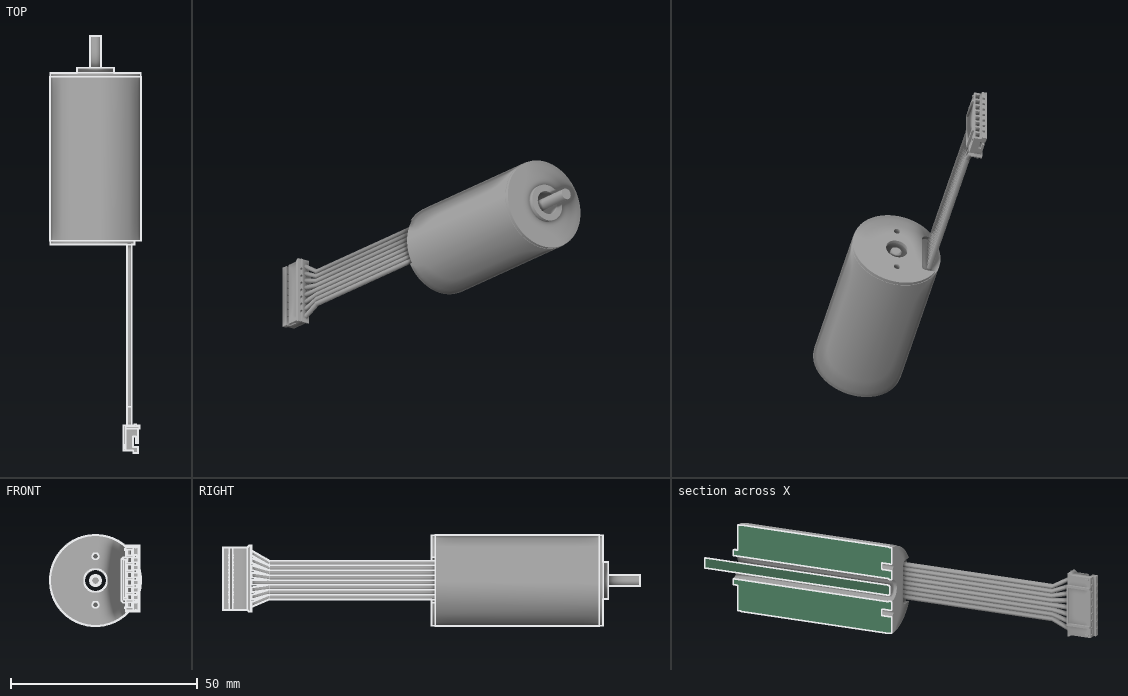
import cadquery as cq


overall_length = 111.77

motor_diameter = 24.5
motor_length = 46.0
end_plate_thickness = 1.0
end_plate_step = 0.1
boss_diameter = 10.0
boss_height = 1.4
bore_diameter = 6.0
can_bore_diameter = 6.4
screw_hole_diameter = 1.7
screw_hole_depth = 3.0
screw_circle_radius = 6.5

notch_start_x = 6.9
notch_height = 12.3
notch_corner_radius = 1.0

shaft_diameter = 3.0
shaft_projection = 9.9
shaft_rear_recess = 0.6
shaft_rear_chamfer = 0.4

wire_count = 8
wire_diameter = 1.35
wire_pitch = 1.3
cable_x = 9.1
cable_z = 0.14
fan_start_y = -89.5

pin_pitch = 2.0
connector_rear_y = -94.4
body_length = 6.8
body_height = 16.8
body_left_x = 8.1
body_right_x = 11.45
flange_height = 17.8
flange_right_x = 11.8
flange_thickness = 0.4
flange_taper_length = 0.6
ridge_width = 0.5
ridge_height = 0.25

rib_left_x = 7.45
rib_thickness = 0.65
rib_spacing = 10.75

bump_spacing = 15.6
bump_size_x = 0.3
bump_size_y = 0.9
bump_size_z = 0.35
bump_offset = 0.6

rail_left_x = 10.1
latch_left_x = 10.8
groove_offset = 3.1
groove_length = 2.7
latch_length = 1.7

cavity_center_x = 9.1
cavity_width = 1.2
cavity_height = 1.4
cavity_depth = 5.0
slot_width = 0.7
slot_left_x = 10.25
slot_right_x = 11.0

motor_radius = motor_diameter / 2
rear_y = -motor_length
notch_floor_y = rear_y + end_plate_thickness

connector_front_y = connector_rear_y - body_length
rail_front_y = shaft_projection - overall_length
groove_rear_y = connector_rear_y - groove_offset
groove_front_y = groove_rear_y - groove_length
latch_front_y = groove_rear_y - latch_length
bump_front_y = connector_front_y + bump_offset
connector_z = cable_z + (pin_pitch - wire_pitch) / 2


def cylinder_y(diameter, y_from, y_to, x=0, z=0):
    """Cylinder parallel to Y between two Y positions."""
    start = cq.Vector(x, y_from, z)
    direction = cq.Vector(0, y_to - y_from, 0)
    return cq.Workplane(cq.Solid.makeCylinder(diameter / 2, abs(y_to - y_from), start, direction))


def box_between(x_from, x_to, y_from, y_to, z_from, z_to):
    """Axis-aligned box between two opposite corners."""
    size = (x_to - x_from, y_to - y_from, z_to - z_from)
    return cq.Workplane().box(*size, centered=False).translate((x_from, y_from, z_from))


def centered_positions(count, pitch, center):
    """Evenly spaced heights about a center, from low to high."""
    return [center + (i - (count - 1) / 2) * pitch for i in range(count)]


def build_motor():
    plate_diameter = motor_diameter - 2 * end_plate_step
    motor = cylinder_y(motor_diameter, notch_floor_y, -end_plate_thickness)
    motor = motor.union(cylinder_y(plate_diameter, rear_y, 0))
    motor = motor.union(cylinder_y(boss_diameter, 0, boss_height))
    motor = motor.cut(cylinder_y(bore_diameter, rear_y, notch_floor_y))
    motor = motor.cut(cylinder_y(can_bore_diameter, notch_floor_y, boss_height))

    for z in (-screw_circle_radius, screw_circle_radius):
        motor = motor.cut(cylinder_y(screw_hole_diameter, rear_y, rear_y + screw_hole_depth, z=z))

    notch = box_between(
        notch_start_x, motor_radius, rear_y, notch_floor_y,
        cable_z - notch_height / 2, cable_z + notch_height / 2,
    )
    notch = notch.edges("|Y and <X").fillet(notch_corner_radius)
    return motor.cut(notch)


def build_shaft():
    shaft = cylinder_y(shaft_diameter, rear_y + shaft_rear_recess, shaft_projection)
    return shaft.faces("<Y").chamfer(shaft_rear_chamfer)


def build_cable():
    """Side-by-side wires, each leading from the ribbon to its own connector pin."""
    ribbon_heights = centered_positions(wire_count, wire_pitch, cable_z)
    pin_heights = centered_positions(wire_count, pin_pitch, connector_z)
    ribbon = cq.Workplane()
    fan = cq.Workplane()
    for ribbon_z, pin_z in zip(ribbon_heights, pin_heights):
        ribbon = ribbon.union(cylinder_y(wire_diameter, fan_start_y, notch_floor_y, cable_x, ribbon_z))
        fan_wire = (
            cq.Workplane("XZ", origin=(cable_x, fan_start_y, ribbon_z))
            .circle(wire_diameter / 2)
            .workplane(offset=fan_start_y - connector_rear_y)
            .center(0, pin_z - ribbon_z)
            .circle(wire_diameter / 2)
            .loft(ruled=True)
        )
        fan = fan.union(fan_wire)
    return ribbon.union(fan)


def connector_body():
    """Block with the rail and its latch groove, constant along Z."""
    outline = [
        (body_left_x, connector_rear_y),
        (body_right_x, connector_rear_y),
        (body_right_x, latch_front_y),
        (latch_left_x, latch_front_y),
        (latch_left_x, groove_rear_y),
        (rail_left_x, groove_rear_y),
        (rail_left_x, groove_front_y),
        (body_right_x, groove_front_y),
        (body_right_x, rail_front_y),
        (rail_left_x, rail_front_y),
        (rail_left_x, connector_front_y),
        (body_left_x, connector_front_y),
    ]
    bottom = connector_z - body_height / 2
    return cq.Workplane("XY", origin=(0, 0, bottom)).polyline(outline).close().extrude(body_height)


def connector_flange():
    """Rear flange that tapers down to the body, with a thin ridge across its rear face."""
    edge_y = connector_rear_y - flange_thickness
    taper_y = edge_y - flange_taper_length
    outline = [
        (connector_rear_y, connector_z - flange_height / 2),
        (connector_rear_y, connector_z + flange_height / 2),
        (edge_y, connector_z + flange_height / 2),
        (taper_y, connector_z + body_height / 2),
        (taper_y, connector_z - body_height / 2),
        (edge_y, connector_z - flange_height / 2),
    ]
    flange = (
        cq.Workplane("YZ", origin=(body_left_x, 0, 0))
        .polyline(outline)
        .close()
        .extrude(flange_right_x - body_left_x)
    )
    ridge_x = (slot_left_x + slot_right_x) / 2
    ridge = box_between(
        ridge_x - ridge_width / 2, ridge_x + ridge_width / 2,
        connector_rear_y, connector_rear_y + ridge_height,
        connector_z - flange_height / 2, connector_z + flange_height / 2,
    )
    return flange.union(ridge)


def connector_ribs():
    """Two ribs on the -X side, with the flange carried out between them and filleted to the side."""
    rib_heights = centered_positions(2, rib_spacing, connector_z)
    edge_y = connector_rear_y - flange_thickness
    fillet_radius = body_left_x - rib_left_x
    ribs = (
        cq.Workplane("XY", origin=(0, 0, rib_heights[0]))
        .moveTo(rib_left_x, connector_rear_y)
        .lineTo(body_left_x, connector_rear_y)
        .lineTo(body_left_x, edge_y - fillet_radius)
        .radiusArc((rib_left_x, edge_y), -fillet_radius)
        .close()
        .extrude(rib_spacing)
    )
    for z in rib_heights:
        ribs = ribs.union(box_between(
            rib_left_x, body_left_x, connector_front_y, connector_rear_y,
            z - rib_thickness / 2, z + rib_thickness / 2,
        ))
    return ribs


def connector_bumps():
    bumps = cq.Workplane()
    for z in centered_positions(2, bump_spacing, connector_z):
        bumps = bumps.union(box_between(
            body_left_x - bump_size_x, body_left_x, bump_front_y, bump_front_y + bump_size_y,
            z - bump_size_z / 2, z + bump_size_z / 2,
        ))
    return bumps


def build_connector():
    connector = connector_body().union(connector_flange()).union(connector_ribs())
    connector = connector.union(connector_bumps())
    for z in centered_positions(wire_count, pin_pitch, connector_z):
        connector = connector.cut(box_between(
            cavity_center_x - cavity_width / 2, cavity_center_x + cavity_width / 2,
            connector_front_y, connector_front_y + cavity_depth,
            z - cavity_height / 2, z + cavity_height / 2,
        ))
    for z in centered_positions(wire_count - 1, pin_pitch, connector_z):
        connector = connector.cut(box_between(
            slot_left_x, slot_right_x, rail_front_y, connector_rear_y + ridge_height,
            z - slot_width / 2, z + slot_width / 2,
        ))
    return connector


motor = build_motor()
shaft = build_shaft()
cable = build_cable()
connector = build_connector()
result = cq.Compound.makeCompound([motor.val(), shaft.val(), cable.val(), connector.val()])